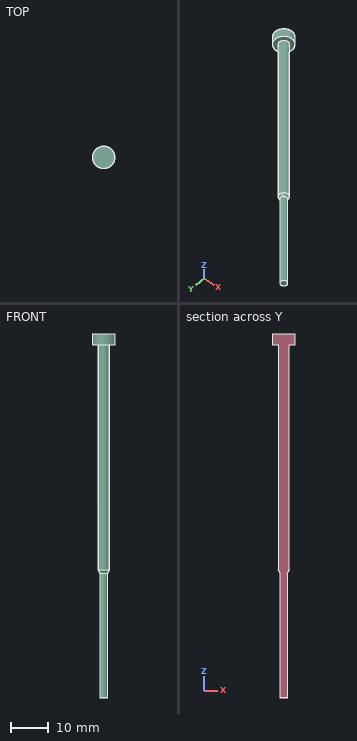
import cadquery as cq

total_length = 97.0
head_diameter = 6.0
head_height = 3.0
shank_diameter = 3.0
tip_diameter = 2.0
tip_length = 33.2
taper_height = 0.9

head_bottom = total_length - head_height
taper_top = tip_length + taper_height


def cylinder(diameter, bottom, top):
    """Round section on the pin axis between two heights."""
    return cq.Workplane("XY").workplane(offset=bottom).circle(diameter / 2).extrude(top - bottom)


tip = cylinder(tip_diameter, 0, tip_length)

taper = (
    cq.Workplane("XY")
    .workplane(offset=tip_length)
    .circle(tip_diameter / 2)
    .workplane(offset=taper_height)
    .circle(shank_diameter / 2)
    .loft(ruled=True)
)

shank = cylinder(shank_diameter, taper_top, head_bottom)
head = cylinder(head_diameter, head_bottom, total_length)

result = tip.union(taper).union(shank).union(head)